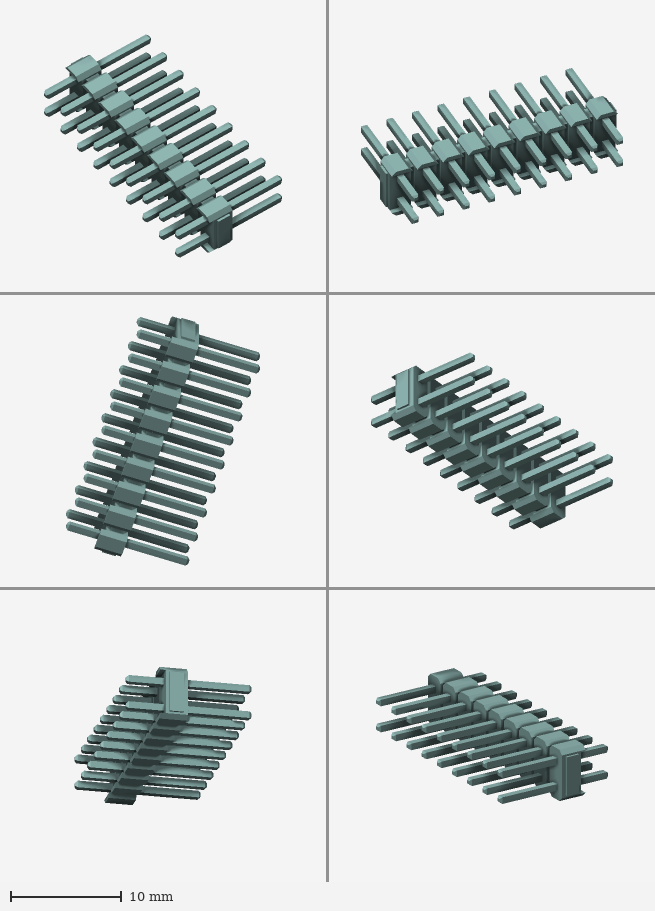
import cadquery as cq

overall_length = 22.85
module_count = 9
pitch = overall_length / module_count

block_width = 2.1
block_height = 5.0
block_depth = 2.54
corner_chamfer = 0.41

channel_depth = 0.5
channel_height = block_height - 2 * corner_chamfer

bar_height = 3.8
bar_depth = 1.3
bar_setback = 0.41

pin_width = 0.65
pin_length = 11.64
pin_rear_reach = 6.13
tip_length = 0.2
tip_width = 0.32


def make_block():
    """Housing block with chamfered long edges and the front channel."""
    block = (
        cq.Workplane("XY")
        .box(block_width, block_depth, block_height)
        .edges("|Y")
        .chamfer(corner_chamfer)
        .translate((0, -block_depth / 2, 0))
    )
    channel = (
        cq.Workplane("XY")
        .box(block_width, channel_depth, channel_height)
        .translate((0, channel_depth / 2 - block_depth, 0))
    )
    return block.cut(channel)


def make_bar():
    """Linking bar, one pitch long, so neighbouring modules touch end to end."""
    return (
        cq.Workplane("XY")
        .box(pitch, bar_depth, bar_height)
        .translate((0, -bar_setback - bar_depth / 2, 0))
    )


def make_tip(base_y, direction):
    """Pyramid frustum at a pin end, narrowing along Y in the given direction (+1 or -1)."""
    return (
        cq.Workplane(cq.Plane((0, base_y, 0), (1, 0, 0), (0, direction, 0)))
        .rect(pin_width, pin_width)
        .workplane(offset=tip_length)
        .rect(tip_width, tip_width)
        .loft(combine=True)
    )


def make_pin():
    """Square pin along Y with a tapered tip at both ends."""
    rear_shoulder = pin_rear_reach - tip_length
    front_shoulder = pin_rear_reach - pin_length + tip_length
    shank = (
        cq.Workplane("XY")
        .box(pin_width, rear_shoulder - front_shoulder, pin_width)
        .translate((0, (rear_shoulder + front_shoulder) / 2, 0))
    )
    return shank.union(make_tip(rear_shoulder, 1)).union(make_tip(front_shoulder, -1))


def make_module():
    """One module: block, linking bar and a pair of pins as a single solid."""
    module = make_block().union(make_bar())
    pin = make_pin()
    for row_z in (-pitch / 2, pitch / 2):
        module = module.union(pin.translate((0, 0, row_z)))
    return module


module = make_module()
modules = []
for index in range(module_count):
    module_x = (index - (module_count - 1) / 2) * pitch
    modules.append(module.translate((module_x, 0, 0)).val())

result = cq.Compound.makeCompound(modules)